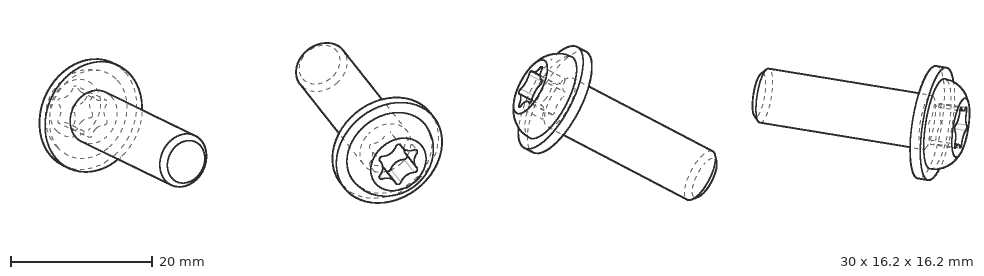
import cadquery as cq
import math

total_length = 30.0
shank_radius = 3.9
end_chamfer = 0.78
flange_radius = 8.1
flange_thickness = 1.53
head_height = 3.48
head_base_radius = 6.48
head_face_radius = 4.23

lobe_count = 6
socket_tip_radius = 3.3
socket_valley_radius = 2.4
lobe_round = 0.42
socket_depth = 3.9


def polar(radius, angle):
    return (radius * math.cos(angle), radius * math.sin(angle))


def make_body():
    """Revolve the half profile: domed head, flange and chamfered shank."""
    flange_end = head_height + flange_thickness
    radial_rise = head_base_radius - head_face_radius
    dome_radius = (head_height**2 + radial_rise**2) / (2 * radial_rise)
    dome_center_radius = head_base_radius - dome_radius
    mid_angle = math.asin(head_height / dome_radius) / 2
    dome_middle = (
        head_height - dome_radius * math.sin(mid_angle),
        dome_center_radius + dome_radius * math.cos(mid_angle),
    )
    profile = (
        cq.Workplane("XY")
        .lineTo(0, head_face_radius)
        .threePointArc(dome_middle, (head_height, head_base_radius))
        .lineTo(head_height, flange_radius)
        .lineTo(flange_end, flange_radius)
        .lineTo(flange_end, shank_radius)
        .lineTo(total_length - end_chamfer, shank_radius)
        .lineTo(total_length, shank_radius - end_chamfer)
        .lineTo(total_length, 0)
        .close()
    )
    return profile.revolve(360, (0, 0, 0), (1, 0, 0))


def make_socket():
    """Six rounded lobes joined by tangent valley arcs, with lobes on the Z axis."""
    half_pitch = math.pi / lobe_count
    lobe_center = socket_tip_radius - lobe_round

    cosine = math.cos(half_pitch)
    gap = lobe_center**2 + socket_valley_radius**2 - lobe_round**2
    gap -= 2 * lobe_center * socket_valley_radius * cosine
    valley_round = gap / (2 * (lobe_round + lobe_center * cosine - socket_valley_radius))
    valley_center = socket_valley_radius + valley_round

    valley_x, valley_y = polar(valley_center, half_pitch)
    share = lobe_round / (lobe_round + valley_round)
    tangent_x = lobe_center + share * (valley_x - lobe_center)
    tangent_y = share * valley_y
    tangent_radius = math.hypot(tangent_x, tangent_y)
    tangent_angle = math.atan2(tangent_y, tangent_x)

    first_lobe = math.pi / 2
    outline = cq.Workplane("YZ").moveTo(*polar(tangent_radius, first_lobe - tangent_angle))
    for index in range(lobe_count):
        lobe_angle = first_lobe + 2 * half_pitch * index
        valley_angle = lobe_angle + half_pitch
        next_lobe = valley_angle + half_pitch
        outline = outline.threePointArc(
            polar(socket_tip_radius, lobe_angle),
            polar(tangent_radius, lobe_angle + tangent_angle),
        )
        outline = outline.threePointArc(
            polar(socket_valley_radius, valley_angle),
            polar(tangent_radius, next_lobe - tangent_angle),
        )
    return outline.close().extrude(socket_depth)


result = make_body().cut(make_socket())